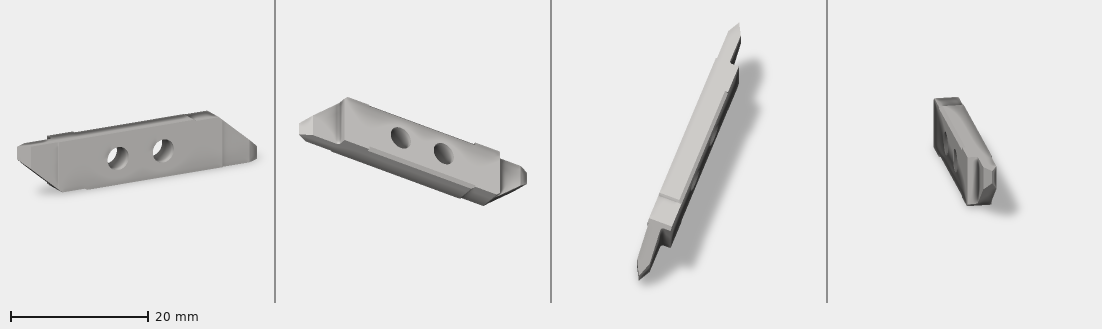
import cadquery as cq
import math

length = 40
width = 3.6
height = 8

shoulder_y = 13.6
tongue_left = -0.3
tongue_right = 1.65
tip_length = 1.85
left_root_radius = 0.4
right_root_radius = width / 2 - tongue_right

end_height = 1.9
slope_angle = 40
seat_drop = 0.25
seat_end_y = 9.3
ramp_length = 0.4

bevel = 0.5

hole_diameter = 3.5
hole_spacing = 7.5

half_length = length / 2
half_width = width / 2
half_height = height / 2


def plan_outline():
    """Body with a pointed tongue at each end, drawn in XY."""
    tip_x = (tongue_left + tongue_right) / 2
    tip_base_y = half_length - tip_length
    left_root_y = shoulder_y + left_root_radius
    right_root_y = shoulder_y + right_root_radius
    return (
        cq.Workplane("XY")
        .workplane(offset=-half_height)
        .moveTo(-half_width, -shoulder_y)
        .lineTo(-half_width, shoulder_y)
        .lineTo(tongue_left - left_root_radius, shoulder_y)
        .tangentArcPoint((tongue_left, left_root_y), relative=False)
        .lineTo(tongue_left, tip_base_y)
        .lineTo(tip_x, half_length)
        .lineTo(tongue_right, tip_base_y)
        .lineTo(tongue_right, right_root_y)
        .tangentArcPoint((half_width, shoulder_y), relative=False)
        .lineTo(half_width, -shoulder_y)
        .radiusArc((tongue_right, -right_root_y), -right_root_radius)
        .lineTo(tongue_right, -tip_base_y)
        .lineTo(tip_x, -half_length)
        .lineTo(tongue_left, -tip_base_y)
        .lineTo(tongue_left, -left_root_y)
        .tangentArcPoint((tongue_left - left_root_radius, -shoulder_y), relative=False)
        .close()
    )


def side_profile():
    """Sloped ends and lowered seats, drawn in YZ and extruded across the width."""
    seat_z = half_height - seat_drop
    end_z = end_height - half_height
    slope_length = (seat_z - end_z) / math.tan(math.radians(slope_angle))
    upper_half = [
        (-half_length, half_height),
        (seat_end_y - ramp_length, half_height),
        (seat_end_y, seat_z),
        (half_length - slope_length, seat_z),
        (half_length, end_z),
    ]
    lower_half = [(-y, -z) for y, z in upper_half]
    return cq.Workplane("YZ").polyline(upper_half + lower_half).close().extrude(half_width, both=True)


def edge_bevel():
    """Wedge that bevels the upper -X edge between the two seat ends."""
    return (
        cq.Workplane("XZ")
        .moveTo(-half_width, half_height)
        .lineTo(-half_width + bevel, half_height)
        .lineTo(-half_width, half_height - bevel)
        .close()
        .extrude(seat_end_y, both=True)
    )


def cross_holes():
    """Two round holes straight through the width."""
    return (
        cq.Workplane("YZ")
        .pushPoints([(-hole_spacing / 2, 0), (hole_spacing / 2, 0)])
        .circle(hole_diameter / 2)
        .extrude(half_width, both=True)
    )


upper_bevel = edge_bevel()
lower_bevel = upper_bevel.mirror("XY")

result = (
    plan_outline()
    .extrude(height)
    .intersect(side_profile())
    .cut(upper_bevel)
    .cut(lower_bevel)
    .cut(cross_holes())
)